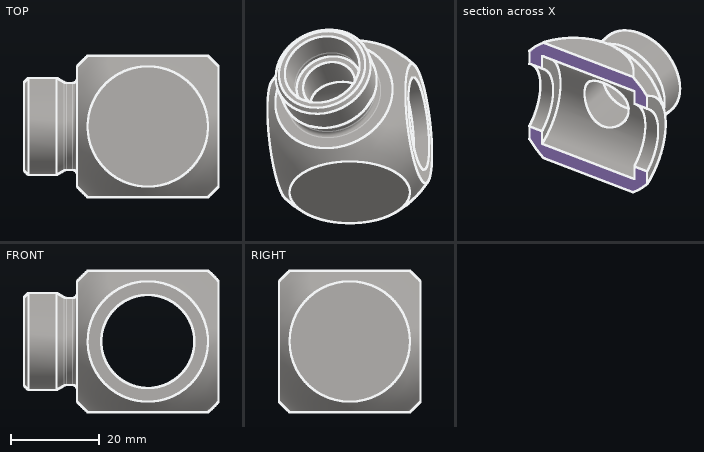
import cadquery as cq
import math

body_size = 32.0
sphere_radius = 21.0
body_half = body_size / 2

bore_diameter = 21.0
chamber_diameter = 27.0
land_width = 3.5

port_length = 12.0
port_diameter = 22.0
port_chamfer = 1.0
neck_diameter = 19.7
root_radius = 1.0
shoulder_blend_radius = 1.1
shoulder_angle = math.radians(30)
shoulder_cone_end = 2.9

cone_half_angle = math.radians(12)
cone_mouth_diameter = 17.3
socket_diameter = 15.0
socket_depth = 7.0
passage_diameter = 12.0

port_face_x = -body_half - port_length


def make_body():
    cube = cq.Workplane("XY").box(body_size, body_size, body_size)
    return cube.intersect(cq.Workplane("XY").sphere(sphere_radius))


def revolve_about_x(outline):
    """Close a half profile drawn in the XY plane and turn it about the X axis."""
    return outline.close().revolve(360, (0, 0, 0), (1, 0, 0))


def make_port():
    port_radius = port_diameter / 2
    neck_radius = neck_diameter / 2

    cone_end_x = -body_half - shoulder_cone_end
    cone_end_radius = neck_radius + shoulder_blend_radius * (1 - math.cos(shoulder_angle))
    cone_start_x = cone_end_x - (port_radius - cone_end_radius) / math.tan(shoulder_angle)
    neck_start_x = cone_end_x + shoulder_blend_radius * math.sin(shoulder_angle)
    neck_end_x = -body_half - root_radius

    outline = (
        cq.Workplane("XY")
        .moveTo(port_face_x, 0)
        .lineTo(port_face_x, port_radius - port_chamfer)
        .lineTo(port_face_x + port_chamfer, port_radius)
        .lineTo(cone_start_x, port_radius)
        .lineTo(cone_end_x, cone_end_radius)
        .radiusArc((neck_start_x, neck_radius), -shoulder_blend_radius)
        .lineTo(neck_end_x, neck_radius)
        .radiusArc((-body_half, neck_radius + root_radius), -root_radius)
        .lineTo(-body_half, 0)
    )
    return revolve_about_x(outline)


def make_port_hole():
    mouth_radius = cone_mouth_diameter / 2
    socket_radius = socket_diameter / 2
    passage_radius = passage_diameter / 2
    cone_depth = (mouth_radius - socket_radius) / math.tan(cone_half_angle)
    socket_floor_x = port_face_x + socket_depth

    outline = (
        cq.Workplane("XY")
        .moveTo(port_face_x, 0)
        .lineTo(port_face_x, mouth_radius)
        .lineTo(port_face_x + cone_depth, socket_radius)
        .lineTo(socket_floor_x, socket_radius)
        .lineTo(socket_floor_x, passage_radius)
        .lineTo(0, passage_radius)
        .lineTo(0, 0)
    )
    return revolve_about_x(outline)


def make_cross_bore():
    chamber_length = body_size - 2 * land_width
    bore = cq.Workplane("XZ").circle(bore_diameter / 2).extrude(body_half, both=True)
    chamber = cq.Workplane("XZ").circle(chamber_diameter / 2).extrude(chamber_length / 2, both=True)
    return bore.union(chamber)


result = make_body().union(make_port()).cut(make_cross_bore()).cut(make_port_hole())